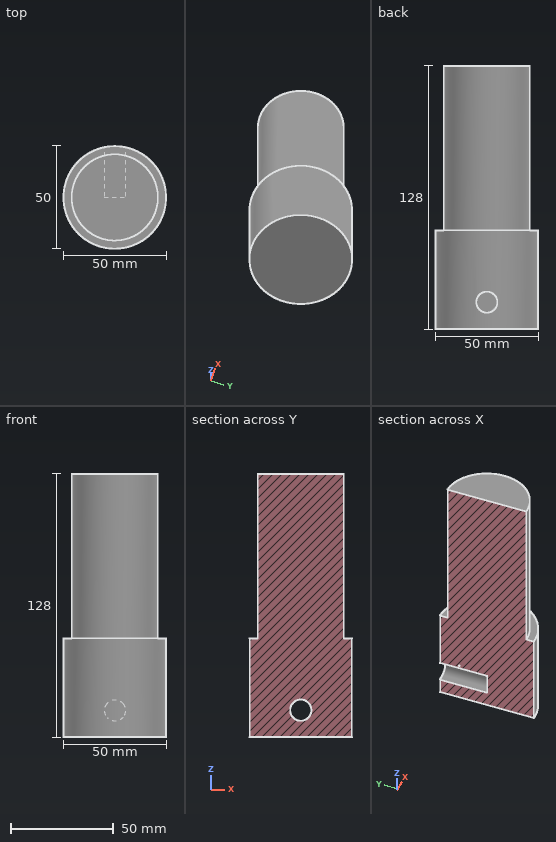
import cadquery as cq

total_height = 128.0
collar_diameter = 50.0
collar_height = 48.0
shank_diameter = 42.0

side_hole_diameter = 10.2
side_hole_height = 13.0

collar_radius = collar_diameter / 2


def make_stepped_body():
    """Wide collar standing on Z = 0 with a narrower coaxial shank above it."""
    collar = cq.Workplane("XY").circle(collar_diameter / 2).extrude(collar_height)
    shank = cq.Workplane("XY").circle(shank_diameter / 2).extrude(total_height)
    return collar.union(shank)


def make_side_hole():
    """Cylinder from the part axis out through the +Y side of the collar."""
    return (
        cq.Workplane("XZ")
        .center(0, side_hole_height)
        .circle(side_hole_diameter / 2)
        .extrude(-collar_radius)
    )


result = make_stepped_body().cut(make_side_hole())